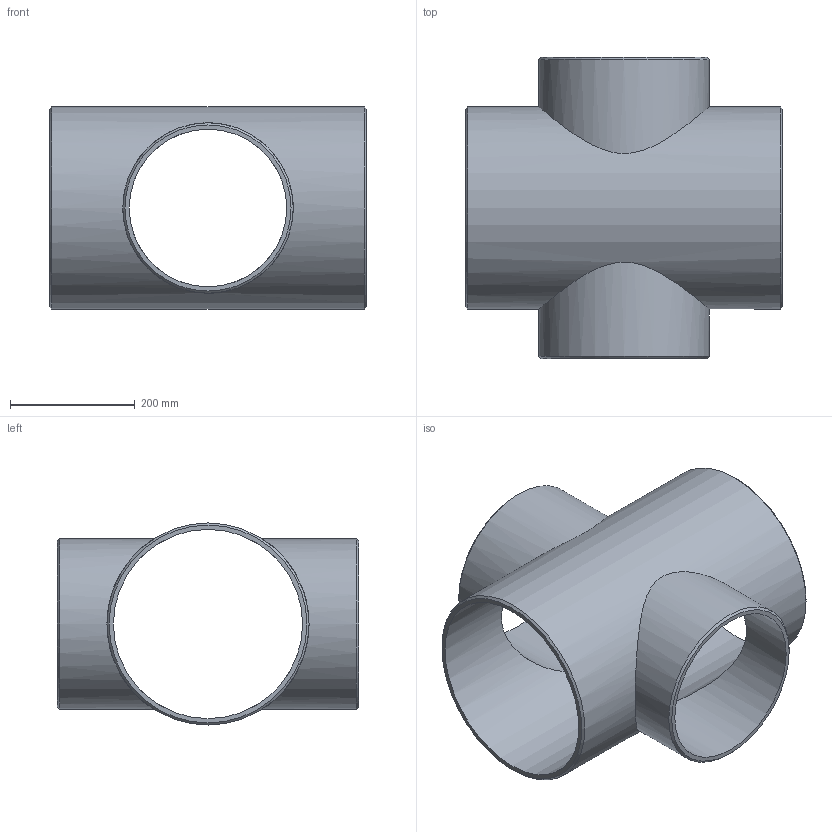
import cadquery as cq

wall = 10.31

run_length = 508.0
run_outer_diameter = 323.85

branch_length = 482.6
branch_outer_diameter = 273.05

bevel = wall / 3


def bevelled_cylinder(diameter, length):
    """Solid cylinder along X, centred on the origin, with both outer edges bevelled."""
    return (
        cq.Workplane("YZ")
        .circle(diameter / 2)
        .extrude(length / 2, both=True)
        .faces("<X or >X")
        .chamfer(bevel)
    )


def bore(outer_diameter, length):
    """Cylinder along X, centred on the origin, that leaves the wall inside a pipe."""
    return cq.Workplane("YZ").circle(outer_diameter / 2 - wall).extrude(length / 2, both=True)


def turn_to_branch(body):
    """Swing a body lying along X round to lie along Y."""
    return body.rotate((0, 0, 0), (0, 0, 1), 90)


run_body = bevelled_cylinder(run_outer_diameter, run_length)
branch_body = turn_to_branch(bevelled_cylinder(branch_outer_diameter, branch_length))
cross = run_body.union(branch_body)

run_bore = bore(run_outer_diameter, run_length)
branch_bore = turn_to_branch(bore(branch_outer_diameter, branch_length))

result = cross.cut(run_bore).cut(branch_bore)